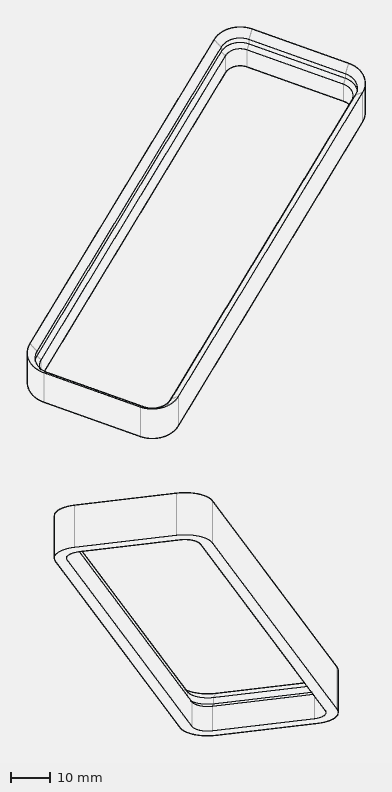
import cadquery as cq

width = 41.5
length = 125.5
height = 11.7
corner_radius = 7.3

upper_bevel_width = 2.0
upper_bevel_depth = 2.0
step_depth = 1.8
lower_bevel_width = 1.1
lower_bevel_depth = 1.1

wall = upper_bevel_width + lower_bevel_width
step_top = height - upper_bevel_depth
step_bottom = step_top - step_depth
bore_top = step_bottom - lower_bevel_depth


def outline(inset, z):
    """Rounded rectangle at height z, offset inward from the outer wall."""
    return (
        cq.Sketch()
        .rect(width - 2 * inset, length - 2 * inset)
        .vertices()
        .fillet(corner_radius - inset)
        .moved(cq.Location(cq.Vector(0, 0, z)))
    )


def section(inset_bottom, z_bottom, inset_top, z_top):
    """Solid running between two concentric rounded rectangles."""
    return cq.Workplane("XY").placeSketch(
        outline(inset_bottom, z_bottom), outline(inset_top, z_top)
    ).loft()


body = section(0, 0, 0, height)
bore = section(wall, 0, wall, bore_top)
lower_bevel = section(wall, bore_top, upper_bevel_width, step_bottom)
step = section(upper_bevel_width, step_bottom, upper_bevel_width, step_top)

upper_bevel = section(upper_bevel_width, step_top, 0, height)

result = body.cut(bore).cut(lower_bevel).cut(step).cut(upper_bevel)